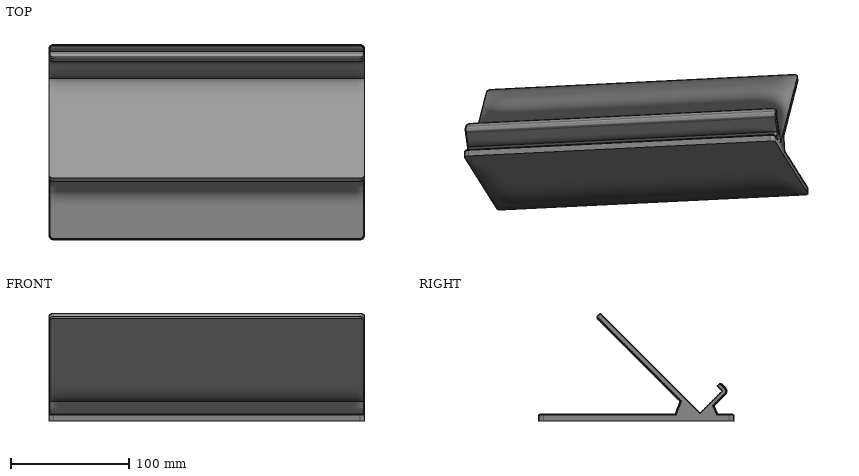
import cadquery as cq
import math

length = 267.0
base_depth = 165.0
total_height = 91.17
base_thickness = 6.0

groove_y = 54.0
back_plate_length = 119.4
back_plate_thickness = 5.0
front_plate_length = 30.4
front_plate_thickness = 4.0
lip_thickness = 4.0
lip_height = 6.0

foot_back_y = 32.9
foot_front_y = 68.9
foot_back_angle = 69.0
foot_front_angle = 66.0

corner_radius = 4.0
edge_chamfer = 1.0

TOLERANCE = 0.01
SLANT = math.sin(math.radians(45))
half_depth = base_depth / 2
groove_z = total_height - back_plate_length * SLANT


def cradle_point(along_back, along_front):
    """(Y, Z) of a point given by its distances from the groove along the two plates."""
    y = groove_y + (along_front - along_back) * SLANT
    z = groove_z + (along_front + along_back) * SLANT
    return y, z


def foot_top(bottom_y, angle, plate_direction, plate_thickness):
    """(Y, Z) where a foot side meets the underside of its plate.

    plate_direction is +1 when the plate rises toward +Y and -1 when it rises toward -Y.
    The foot side leans the other way.
    """
    lean = -plate_direction / math.tan(math.radians(angle))
    underside_z = groove_z - plate_thickness / SLANT
    rise_along_plate = (bottom_y - groove_y) * plate_direction
    rise = (underside_z + rise_along_plate - base_thickness) / (1 - lean * plate_direction)
    return bottom_y + lean * rise, base_thickness + rise


base_back = (-half_depth, base_thickness)
base_front = (half_depth, base_thickness)
foot_back_bottom = (foot_back_y, base_thickness)
foot_front_bottom = (foot_front_y, base_thickness)
foot_back_top = foot_top(foot_back_y, foot_back_angle, -1, back_plate_thickness)
foot_front_top = foot_top(foot_front_y, foot_front_angle, 1, front_plate_thickness)
lip_outer_corner = cradle_point(-front_plate_thickness, front_plate_length)
lip_outer_tip = cradle_point(lip_height, front_plate_length)
lip_inner_tip = cradle_point(lip_height, front_plate_length - lip_thickness)
lip_inner_corner = cradle_point(0, front_plate_length - lip_thickness)
groove = cradle_point(0, 0)
back_plate_inner_tip = cradle_point(back_plate_length, 0)
back_plate_outer_tip = cradle_point(back_plate_length, -back_plate_thickness)


def make_body():
    """Constant profile of base, foot, plates and lip, extruded along X."""
    outline = [
        (-half_depth, 0),
        (half_depth, 0),
        base_front,
        foot_front_bottom,
        foot_front_top,
        lip_outer_corner,
        lip_outer_tip,
        lip_inner_tip,
        lip_inner_corner,
        groove,
        back_plate_inner_tip,
        back_plate_outer_tip,
        foot_back_top,
        foot_back_bottom,
        base_back,
    ]
    return cq.Workplane("YZ").polyline(outline).close().extrude(length / 2, both=True)


def lies_on(edge, start, end):
    """True when the edge's midpoint projects along X onto the profile line from start to end."""
    middle = edge.positionAt(0.5)
    start_point = cq.Vector(0, *start)
    end_point = cq.Vector(0, *end)
    middle_point = cq.Vector(0, middle.y, middle.z)
    detour = (middle_point - start_point).Length + (end_point - middle_point).Length
    return detour - (end_point - start_point).Length < TOLERANCE


def round_corners(body):
    """Round the free corners of the base, back plate and lip, and the bend outside the lip."""
    free_ends = [
        ((-half_depth, 0), base_back),
        ((half_depth, 0), base_front),
        (back_plate_inner_tip, back_plate_outer_tip),
        (lip_outer_tip, lip_inner_tip),
    ]

    def is_corner(edge):
        across_profile = edge.BoundingBox().xlen < TOLERANCE
        at_free_end = across_profile and any(lies_on(edge, *face) for face in free_ends)
        return at_free_end or lies_on(edge, lip_outer_corner, lip_outer_corner)

    corners = [edge for edge in body.edges().vals() if is_corner(edge)]
    return body.newObject(corners).fillet(corner_radius)


def chamfer_outer_rims(body):
    """Bevel the rims of the base top, foot sides, plate undersides and lip outside."""
    outer_faces = [
        (base_back, foot_back_bottom),
        (foot_back_bottom, foot_back_top),
        (foot_back_top, back_plate_outer_tip),
        (base_front, foot_front_bottom),
        (foot_front_bottom, foot_front_top),
        (foot_front_top, lip_outer_corner),
        (lip_outer_corner, lip_outer_tip),
    ]
    inside_bends = [foot_back_bottom, foot_back_top, foot_front_bottom, foot_front_top]
    bend_seams = [
        cradle_point(-front_plate_thickness, front_plate_length - corner_radius),
        cradle_point(corner_radius - front_plate_thickness, front_plate_length),
    ]
    bend_inset = corner_radius * (1 - SLANT)
    bend_middle = cradle_point(bend_inset - front_plate_thickness, front_plate_length - bend_inset)

    def is_rim(edge):
        if any(lies_on(edge, point, point) for point in inside_bends + bend_seams):
            return False
        on_outer_face = any(lies_on(edge, *face) for face in outer_faces)
        return on_outer_face or lies_on(edge, bend_middle, bend_middle)

    rims = [edge for edge in body.edges().vals() if is_rim(edge)]
    return body.newObject(rims).chamfer(edge_chamfer)


result = chamfer_outer_rims(round_corners(make_body()))